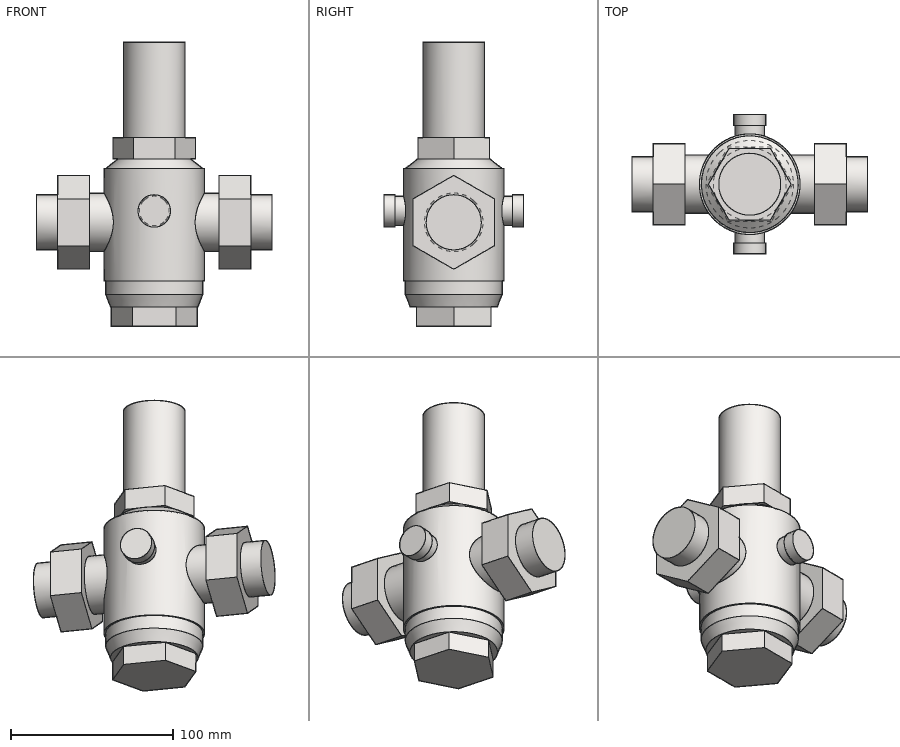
import cadquery as cq
import math

total_height = 175.0
cap_hex_top = 11.9
taper_top = 19.6
ring_top = 28.0
body_top = 97.3
shoulder_top = 103.0
bonnet_hex_top = 116.2
taper_small_radius = 27.0
ring_radius = 30.0
body_radius = 31.0
shoulder_base_radius = 29.8
shoulder_top_radius = 22.4
spindle_radius = 19.0
cap_hex_flats = 46.0
bonnet_hex_flats = 44.1

pipe_axis_z = 64.0
pipe_half_length = 145.0 / 2
pipe_end_radius = 17.0
pipe_neck_radius = 18.0
union_nut_flats = 50.0
union_nut_inner = 39.7
union_nut_outer = 59.5

port_axis_z = 71.0
port_half_length = 86.0 / 2
port_head_start = 36.0
port_neck_radius = 9.1
port_head_radius = 10.0


def hex_prism(plane, flats, start, end):
    """Hexagonal prism between two distances along the plane normal, corners on its X axis."""
    corner_diameter = flats / math.cos(math.pi / 6)
    return plane.workplane(offset=start).polygon(6, corner_diameter).extrude(end - start)


def make_body():
    """Revolved valve body with the tapered lower ring and the conical shoulder."""
    profile = [
        (0, cap_hex_top),
        (taper_small_radius, cap_hex_top),
        (ring_radius, taper_top),
        (ring_radius, ring_top),
        (body_radius, ring_top),
        (body_radius, body_top),
        (shoulder_base_radius, body_top),
        (shoulder_top_radius, shoulder_top),
        (0, shoulder_top),
    ]
    return cq.Workplane("XZ").polyline(profile).close().revolve(360, (0, 0), (0, 1))


def make_stem():
    """Bottom cap hexagon, bonnet hexagon and the spindle housing above it."""
    base = cq.Workplane("XY")
    cap = hex_prism(base, cap_hex_flats, 0, cap_hex_top)
    bonnet = hex_prism(base, bonnet_hex_flats, shoulder_top, bonnet_hex_top)
    spindle = (
        base.workplane(offset=bonnet_hex_top)
        .circle(spindle_radius)
        .extrude(total_height - bonnet_hex_top)
    )
    return cap.union(bonnet).union(spindle)


def make_connection(side):
    """Pipe neck, union nut and pipe end pointing along +X or -X."""
    plane = cq.Workplane(cq.Plane((0, 0, pipe_axis_z), xDir=(0, 0, 1), normal=(side, 0, 0)))
    neck = plane.circle(pipe_neck_radius).extrude(union_nut_inner)
    nut = hex_prism(plane, union_nut_flats, union_nut_inner, union_nut_outer)
    end = (
        plane.workplane(offset=union_nut_outer)
        .circle(pipe_end_radius)
        .extrude(pipe_half_length - union_nut_outer)
    )
    return neck.union(nut).union(end)


def make_port(side):
    """Gauge port with a wider round plug, pointing along +Y or -Y."""
    plane = cq.Workplane(cq.Plane((0, 0, port_axis_z), xDir=(1, 0, 0), normal=(0, side, 0)))
    neck = plane.circle(port_neck_radius).extrude(port_head_start)
    head = (
        plane.workplane(offset=port_head_start)
        .circle(port_head_radius)
        .extrude(port_half_length - port_head_start)
    )
    return neck.union(head)


result = make_body().union(make_stem())
for side in (-1, 1):
    result = result.union(make_connection(side)).union(make_port(side))